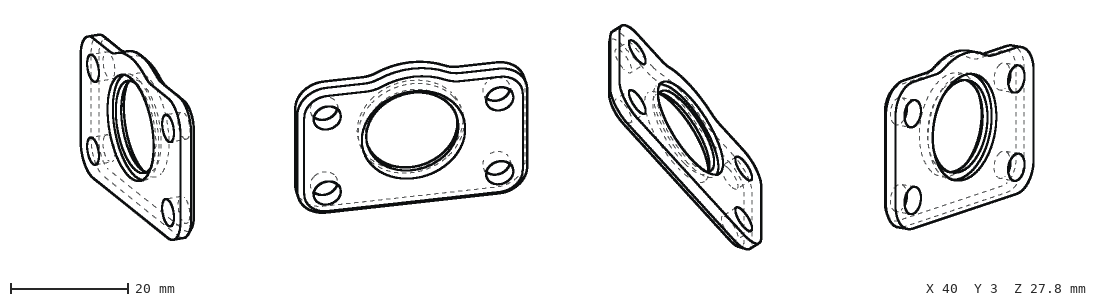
import cadquery as cq
import math

width = 40
thickness = 3.0
shoulder_height = 25.8
overall_height = 27.8
corner_radius = 5.0
back_chamfer = 1.0

bore_height = 14.8
bore_diameter = 16
counterbore_diameter = 18.4
counterbore_depth = 1.0
bore_back_chamfer = 1.0

crown_radius = overall_height - bore_height
blend_radius = 5.0

mount_diameter = 4.7
mount_offset = 15.0
upper_mount_height = 20.25
lower_left_mount_height = 4.95
lower_right_mount_height = 4.7
mount_centers = [
    (-mount_offset, upper_mount_height),
    (mount_offset, upper_mount_height),
    (-mount_offset, lower_left_mount_height),
    (mount_offset, lower_right_mount_height),
]


def front_plane():
    """Sketch plane on the front face, with local axes X and Z."""
    return cq.Workplane("XZ")


def make_plate():
    """Rounded plate with a blended crown and a chamfered back rim."""
    half_width = width / 2
    corner_x = half_width - corner_radius
    corner_z = shoulder_height - corner_radius
    corner_mid = corner_radius * math.sqrt(0.5)

    blend_center_z = shoulder_height + blend_radius
    center_distance = crown_radius + blend_radius
    blend_x = math.sqrt(center_distance**2 - (blend_center_z - bore_height) ** 2)
    crown_angle = math.asin(blend_x / center_distance)
    crown_x = crown_radius * math.sin(crown_angle)
    crown_z = bore_height + crown_radius * math.cos(crown_angle)
    blend_mid_x = blend_x - blend_radius * math.sin(crown_angle / 2)
    blend_mid_z = blend_center_z - blend_radius * math.cos(crown_angle / 2)

    outline = (
        front_plane()
        .moveTo(-corner_x, 0)
        .lineTo(corner_x, 0)
        .threePointArc((corner_x + corner_mid, corner_radius - corner_mid), (half_width, corner_radius))
        .lineTo(half_width, corner_z)
        .threePointArc((corner_x + corner_mid, corner_z + corner_mid), (corner_x, shoulder_height))
        .lineTo(blend_x, shoulder_height)
        .threePointArc((blend_mid_x, blend_mid_z), (crown_x, crown_z))
        .threePointArc((0, overall_height), (-crown_x, crown_z))
        .threePointArc((-blend_mid_x, blend_mid_z), (-blend_x, shoulder_height))
        .lineTo(-corner_x, shoulder_height)
        .threePointArc((-corner_x - corner_mid, corner_z + corner_mid), (-half_width, corner_z))
        .lineTo(-half_width, corner_radius)
        .threePointArc((-corner_x - corner_mid, corner_radius - corner_mid), (-corner_x, 0))
        .close()
    )
    return outline.extrude(-thickness).faces(">Y").chamfer(back_chamfer)


def front_cylinders(centers, diameter, depth):
    """Cylinders running from the front face into the plate."""
    return front_plane().pushPoints(centers).circle(diameter / 2).extrude(-depth)


def back_countersink():
    """Cone that opens the bore at 45 degrees toward the back face."""
    bore_radius = bore_diameter / 2
    return (
        cq.Workplane("XY")
        .moveTo(0, thickness - bore_back_chamfer)
        .lineTo(bore_radius, thickness - bore_back_chamfer)
        .lineTo(bore_radius + bore_back_chamfer, thickness)
        .lineTo(0, thickness)
        .close()
        .revolve(360, (0, 0, 0), (0, 1, 0))
        .translate((0, 0, bore_height))
    )


bore_center = [(0, bore_height)]
result = (
    make_plate()
    .cut(front_cylinders(mount_centers, mount_diameter, thickness))
    .cut(front_cylinders(bore_center, bore_diameter, thickness))
    .cut(front_cylinders(bore_center, counterbore_diameter, counterbore_depth))
    .cut(back_countersink())
)